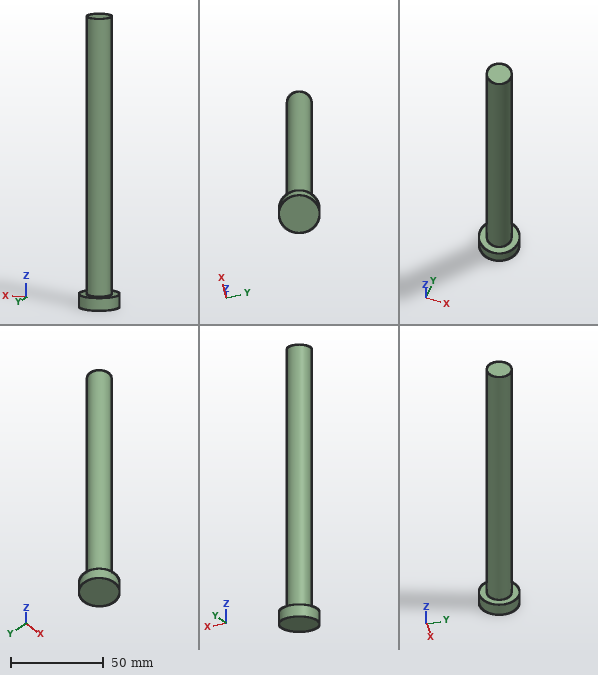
import cadquery as cq

overall_length = 160.0
head_diameter = 22.0
head_height = 7.0
shaft_diameter = 13.5
shaft_length = overall_length - head_height


def make_head():
    """Flat disc with its underside on the XY plane."""
    return cq.Workplane("XY").circle(head_diameter / 2).extrude(head_height)


def add_shaft(body):
    """Plain round shaft rising from the centre of the head."""
    return body.faces(">Z").workplane().circle(shaft_diameter / 2).extrude(shaft_length)


result = add_shaft(make_head())